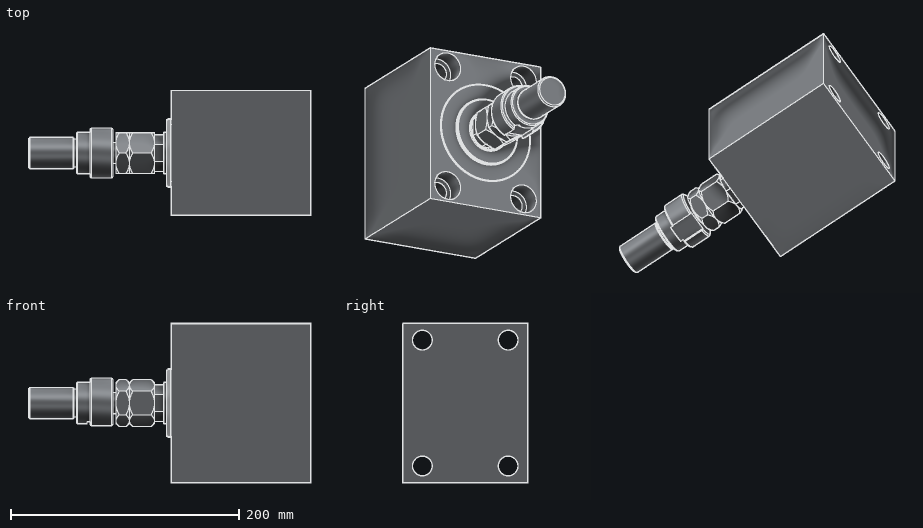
import cadquery as cq
import math


TOTAL_LENGTH = 247.5
HOUSING_START = 125.0
HOUSING_LENGTH = TOTAL_LENGTH - HOUSING_START
HOUSING_WIDTH = 110.0
HOUSING_HEIGHT = 140.0
HOUSING_EDGE_CHAMFER = 0.5

HOLE_SPACING_Y = 75.2
HOLE_SPACING_Z = 110.5
HOLE_DIAMETER = 17.0
COUNTERBORE_DIAMETER = 25.5
COUNTERBORE_DEPTH = 18.5

GLAND_RADIUS = 44.5
GLAND_DEPTH = 24.8
GLAND_CHAMFER = 0.7
BOSS_START = 120.8
BOSS_RADIUS = 29.2
LIP_START = 122.3
LIP_LENGTH = 1.5
LIP_RADIUS = 30.2

FLANGE_START = 118.0
FLANGE_RADIUS = 18.3
FLANGE_CHAMFER = 0.7
SHANK_START = 110.5
SHANK_ACROSS_FLATS = 32.5
SHANK_RADIUS = 17.8
FITTING_START = 88.4

HEX_ACROSS_FLATS = 36.0
HEX_CORNER_RADIUS = HEX_ACROSS_FLATS / math.sqrt(3)
HEX_CHAMFER_LENGTH = 3.0
NUT_START = 76.5

TIP_END = 39.5
TIP_RADIUS = 13.9
TIP_FRONT_CHAMFER = 1.2
TIP_REAR_CHAMFER = 0.7
GROOVE_RADIUS = 12.4
SHOULDER_START = 41.8
SHOULDER_RADIUS = 18.3
SHOULDER_CHAMFER = 1.0
COLLAR_START = 54.0
COLLAR_END = 74.0
COLLAR_RADIUS = 22.0
COLLAR_FRONT_CHAMFER = 1.0
COLLAR_REAR_CHAMFER = 1.2
NECK_RADIUS = 9.5

KEYWAY_START = 51.2
KEYWAY_WIDTH = 18.3
KEYWAY_FLOOR = 16.5


def section_at(x):
    """Workplane across the axis at x, facing +X, with local x along +Y and local y along +Z."""
    return cq.Workplane("YZ", origin=(x, 0, 0))


def disc(start, end, radius):
    return section_at(start).circle(radius).extrude(end - start)


def hexagon(start, end):
    """Hexagon with corners on +Z and -Z, its corners turned off conically at both ends."""
    length = end - start
    prism = (
        section_at(start)
        .transformed(rotate=(0, 0, 90))
        .polygon(6, 2 * HEX_CORNER_RADIUS)
        .extrude(length)
    )
    end_radius = HEX_ACROSS_FLATS / 2
    turned_envelope = (
        cq.Workplane("XY")
        .moveTo(start, 0)
        .lineTo(start, end_radius)
        .lineTo(start + HEX_CHAMFER_LENGTH, HEX_CORNER_RADIUS)
        .lineTo(end - HEX_CHAMFER_LENGTH, HEX_CORNER_RADIUS)
        .lineTo(end, end_radius)
        .lineTo(end, 0)
        .close()
        .revolve(360, (0, 0, 0), (1, 0, 0))
    )
    return prism.intersect(turned_envelope)


def make_gland():
    plug = disc(HOUSING_START, HOUSING_START + GLAND_DEPTH, GLAND_RADIUS)
    plug = plug.faces("<X").chamfer(GLAND_CHAMFER)
    boss = disc(BOSS_START, HOUSING_START, BOSS_RADIUS)
    lip = disc(LIP_START, LIP_START + LIP_LENGTH, LIP_RADIUS)
    return plug.union(boss).union(lip)


def make_housing():
    block = section_at(HOUSING_START).rect(HOUSING_WIDTH, HOUSING_HEIGHT).extrude(HOUSING_LENGTH)
    block = block.edges("<Y and >Z").chamfer(HOUSING_EDGE_CHAMFER)
    gland_recess = disc(HOUSING_START, HOUSING_START + GLAND_DEPTH, GLAND_RADIUS)
    hole_pattern = (
        section_at(HOUSING_START)
        .rect(HOLE_SPACING_Y, HOLE_SPACING_Z, forConstruction=True)
        .vertices()
    )
    holes = hole_pattern.circle(HOLE_DIAMETER / 2).extrude(HOUSING_LENGTH)
    counterbores = hole_pattern.circle(COUNTERBORE_DIAMETER / 2).extrude(COUNTERBORE_DEPTH)
    return block.cut(gland_recess).cut(holes).cut(counterbores)


def make_fitting():
    flange = disc(FLANGE_START, BOSS_START, FLANGE_RADIUS).faces("<X").chamfer(FLANGE_CHAMFER)
    flats = (
        section_at(SHANK_START)
        .rect(SHANK_ACROSS_FLATS, SHANK_ACROSS_FLATS)
        .extrude(FLANGE_START - SHANK_START)
    )
    shank = disc(SHANK_START, FLANGE_START, SHANK_RADIUS).intersect(flats)
    return hexagon(FITTING_START, SHANK_START).union(shank).union(flange)


def make_lock_nut():
    return hexagon(NUT_START, FITTING_START)


def make_coupling_plug():
    tip = disc(0, TIP_END, TIP_RADIUS)
    tip = tip.faces("<X").chamfer(TIP_FRONT_CHAMFER)
    tip = tip.faces(">X").chamfer(TIP_REAR_CHAMFER)
    groove = disc(TIP_END, SHOULDER_START, GROOVE_RADIUS)
    shoulder = disc(SHOULDER_START, COLLAR_START, SHOULDER_RADIUS).faces("<X").chamfer(SHOULDER_CHAMFER)
    collar = disc(COLLAR_START, COLLAR_END, COLLAR_RADIUS)
    collar = collar.faces("<X").chamfer(COLLAR_FRONT_CHAMFER)
    collar = collar.faces(">X").chamfer(COLLAR_REAR_CHAMFER)
    neck = disc(COLLAR_END, NUT_START, NECK_RADIUS)
    keyway_depth = COLLAR_RADIUS - KEYWAY_FLOOR
    keyway = (
        section_at(KEYWAY_START)
        .center(0, -KEYWAY_FLOOR - keyway_depth / 2)
        .rect(KEYWAY_WIDTH, keyway_depth)
        .extrude(COLLAR_END - KEYWAY_START)
    )
    return tip.union(groove).union(shoulder).union(collar).union(neck).cut(keyway)


housing = make_housing()
gland = make_gland()
fitting = make_fitting()
lock_nut = make_lock_nut()
coupling_plug = make_coupling_plug()

result = cq.Compound.makeCompound(
    [housing.val(), gland.val(), fitting.val(), lock_nut.val(), coupling_plug.val()]
)